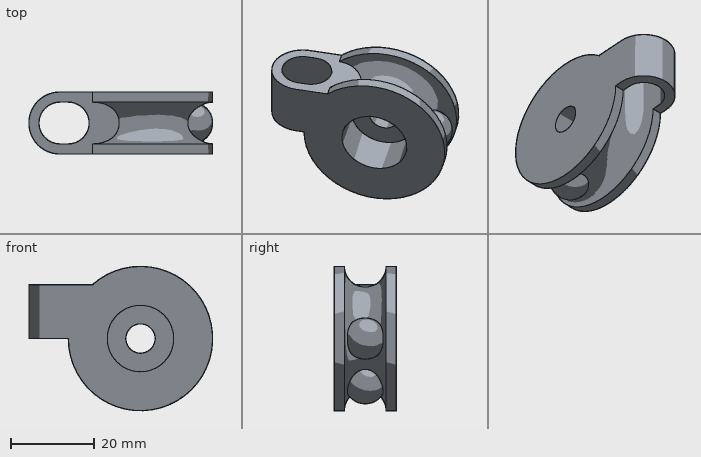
import cadquery as cq
import math

wheel_radius = 17.4
wheel_width = 15.0
groove_radius = 5.0

bore_diameter = 7.0
counterbore_diameter = 16.0
counterbore_depth = 10.0

ball_radius = groove_radius
ball_orbit_radius = wheel_radius - ball_radius
ball_angles = (0, -60)

lug_height = 13.0
lug_end_radius = wheel_width / 2
lug_gap = 2.0
lug_end_x = -(wheel_radius + lug_gap)

lug_top_x = -math.sqrt(wheel_radius**2 - lug_height**2)

slot_width = 2 * groove_radius
slot_length = slot_width + lug_gap
slot_x = lug_end_x + lug_gap / 2


def disc(radius, width):
    """Solid disc along Y, centred on the XZ plane."""
    return cq.Workplane("XZ").circle(radius).extrude(width / 2, both=True)


def make_wheel():
    groove = cq.Workplane(cq.Solid.makeTorus(wheel_radius, groove_radius, dir=cq.Vector(0, 1, 0)))
    return disc(wheel_radius, wheel_width).cut(groove)


def make_lug():
    """Round-ended block plus the quarter disc that carries its top down into the groove."""
    block = (
        cq.Workplane("XY")
        .moveTo(lug_top_x, -lug_end_radius)
        .lineTo(lug_end_x, -lug_end_radius)
        .threePointArc((lug_end_x - lug_end_radius, 0), (lug_end_x, lug_end_radius))
        .lineTo(lug_top_x, lug_end_radius)
        .close()
        .extrude(lug_height)
    )
    quarter_disc = (
        cq.Workplane("XZ")
        .moveTo(lug_top_x, 0)
        .lineTo(lug_top_x, lug_height)
        .radiusArc((lug_top_x + lug_height, 0), lug_height)
        .close()
        .extrude(wheel_width / 2, both=True)
    )
    return block.union(quarter_disc)


def make_slot():
    return cq.Workplane("XY").center(slot_x, 0).slot2D(slot_length, slot_width).extrude(lug_height)


def make_bore():
    """Through bore, with a counterbore entering from the -Y face."""
    counterbore = (
        cq.Workplane("XZ", origin=(0, -wheel_width / 2, 0))
        .circle(counterbore_diameter / 2)
        .extrude(-counterbore_depth)
    )
    return disc(bore_diameter / 2, wheel_width).union(counterbore)


def make_ball(angle):
    x = ball_orbit_radius * math.cos(math.radians(angle))
    z = ball_orbit_radius * math.sin(math.radians(angle))
    return cq.Workplane("XY", origin=(x, 0, z)).sphere(ball_radius)


result = make_wheel().union(make_lug()).cut(make_slot())
for ball_angle in ball_angles:
    result = result.union(make_ball(ball_angle))
result = result.cut(make_bore())